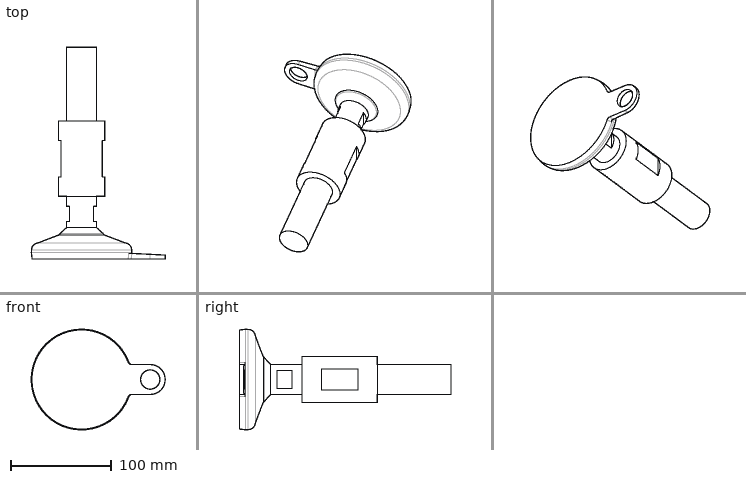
import cadquery as cq
import math

TOTAL_LENGTH = 210.0

FOOT_RADIUS = 50.0
SOLE_RADIUS = 49.1
RIM_BOTTOM = 6.3
RIM_TOP_RADIUS = 49.8
RIM_TOP = 8.8
SHOULDER_RADIUS = 43.5
SHOULDER_HEIGHT = 16.0
NECK_BASE_RADIUS = 22.5
NECK_BASE_HEIGHT = 24.0
NECK_LIP_RADIUS = 21.5
NECK_LIP_HEIGHT = 25.2
NECK_TOP_HEIGHT = 31.0

STEM_DIAMETER = 30.0
STEM_RADIUS = STEM_DIAMETER / 2
STEM_FLAT_WIDTH = 24.0
STEM_FLAT_START = 37.2
STEM_FLAT_LENGTH = 15.0

LUG_END_RADIUS = 15.0
LUG_REACH = 83.0
LUG_HOLE_DIAMETER = 19.0
LUG_ROOT_THICKNESS = 5.7
LUG_TIP_THICKNESS = 4.0
LUG_ROOT_FILLET = 3.2
lug_center = LUG_REACH - LUG_END_RADIUS

SLEEVE_DIAMETER = 46.0
SLEEVE_RADIUS = SLEEVE_DIAMETER / 2
SLEEVE_START = 62.0
SLEEVE_LENGTH = 75.0
SLEEVE_FLAT_WIDTH = 41.2
SLEEVE_FLAT_LENGTH = 36.0
sleeve_flat_start = SLEEVE_START + (SLEEVE_LENGTH - SLEEVE_FLAT_LENGTH) / 2


def cylinder(radius, start, length):
    """Cylinder about the Y axis, from Y = start."""
    return cq.Workplane("XZ", origin=(0, start, 0)).circle(radius).extrude(-length)


def cut_flats(body, radius, width, start, length):
    """Cut two opposite wrench flats, facing -X and +X, into a round body."""
    depth = radius
    for side in (-1, 1):
        cutter = cq.Workplane("XY").box(depth, length, 2 * radius).translate(
            (side * (width + depth) / 2, start + length / 2, 0)
        )
        body = body.cut(cutter)
    return body


def make_plate():
    """Turned foot plate and neck, with a rounded shoulder ending upright at the rim."""
    chord_rise = SHOULDER_HEIGHT - RIM_TOP
    chord_run = RIM_TOP_RADIUS - SHOULDER_RADIUS
    shoulder_arc = (chord_rise ** 2 + chord_run ** 2) / (2 * chord_run)
    half_angle = math.asin(chord_rise / shoulder_arc) / 2
    arc_middle = (
        RIM_TOP_RADIUS - shoulder_arc * (1 - math.cos(half_angle)),
        RIM_TOP + shoulder_arc * math.sin(half_angle),
    )
    return (
        cq.Workplane("XY")
        .lineTo(SOLE_RADIUS, 0)
        .lineTo(FOOT_RADIUS, RIM_BOTTOM)
        .lineTo(RIM_TOP_RADIUS, RIM_TOP)
        .threePointArc(arc_middle, (SHOULDER_RADIUS, SHOULDER_HEIGHT))
        .lineTo(NECK_BASE_RADIUS, NECK_BASE_HEIGHT)
        .lineTo(NECK_LIP_RADIUS, NECK_LIP_HEIGHT)
        .lineTo(STEM_RADIUS, NECK_TOP_HEIGHT)
        .lineTo(0, NECK_TOP_HEIGHT)
        .close()
        .revolve(360, (0, 0, 0), (0, 1, 0))
    )


def make_lug():
    """Round-ended lug whose thickness tapers from the foot rim to the tip."""
    outline = (
        cq.Workplane("XZ")
        .moveTo(0, -LUG_END_RADIUS)
        .lineTo(lug_center, -LUG_END_RADIUS)
        .threePointArc((LUG_REACH, 0), (lug_center, LUG_END_RADIUS))
        .lineTo(0, LUG_END_RADIUS)
        .close()
        .extrude(-LUG_ROOT_THICKNESS)
    )
    taper = (
        cq.Workplane("XY")
        .polyline([
            (0, 0),
            (LUG_REACH, 0),
            (LUG_REACH, LUG_TIP_THICKNESS),
            (FOOT_RADIUS, LUG_ROOT_THICKNESS),
            (0, LUG_ROOT_THICKNESS),
        ])
        .close()
        .extrude(LUG_END_RADIUS, both=True)
    )
    return outline.intersect(taper)


def make_foot():
    """Foot plate, eyelet lug and flatted stem as one body."""
    foot = make_plate().union(make_lug())
    corner_height = LUG_ROOT_THICKNESS / 2
    corner_x = math.sqrt(FOOT_RADIUS ** 2 - LUG_END_RADIUS ** 2)
    for side in (-1, 1):
        corner = (corner_x, corner_height, side * LUG_END_RADIUS)
        foot = foot.edges(cq.selectors.NearestToPointSelector(corner)).fillet(LUG_ROOT_FILLET)

    eyelet = cylinder(LUG_HOLE_DIAMETER / 2, 0, LUG_ROOT_THICKNESS).translate((lug_center, 0, 0))
    stem = cylinder(STEM_RADIUS, NECK_TOP_HEIGHT, TOTAL_LENGTH - NECK_TOP_HEIGHT)
    stem = cut_flats(stem, STEM_RADIUS, STEM_FLAT_WIDTH, STEM_FLAT_START, STEM_FLAT_LENGTH)
    return foot.cut(eyelet).union(stem)


def make_sleeve():
    """Flatted sleeve, bored through to fit around the stem."""
    sleeve = cylinder(SLEEVE_RADIUS, SLEEVE_START, SLEEVE_LENGTH)
    sleeve = sleeve.cut(cylinder(STEM_RADIUS, SLEEVE_START, SLEEVE_LENGTH))
    return cut_flats(sleeve, SLEEVE_RADIUS, SLEEVE_FLAT_WIDTH, sleeve_flat_start, SLEEVE_FLAT_LENGTH)


foot = make_foot()
sleeve = make_sleeve()

result = cq.Compound.makeCompound([foot.solids().val(), sleeve.solids().val()])